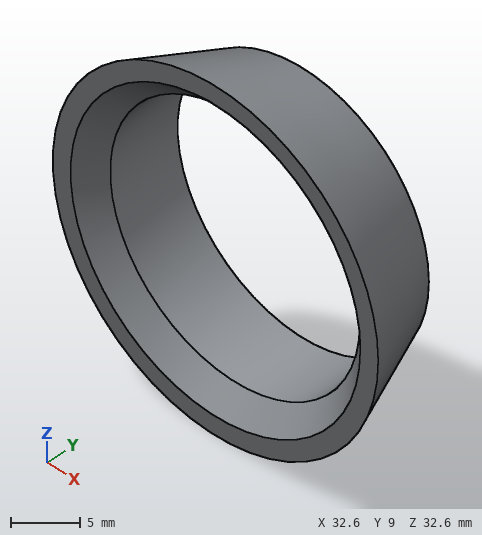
import cadquery as cq

length = 9.0
front_diameter = 32.6
back_diameter = 25.37
bore_diameter = 24.98
mouth_diameter = 29.02

front_radius = front_diameter / 2
back_radius = back_diameter / 2
bore_radius = bore_diameter / 2
mouth_radius = mouth_diameter / 2
mouth_depth = mouth_radius - bore_radius

section = (
    cq.Workplane("XY")
    .moveTo(mouth_radius, 0)
    .lineTo(front_radius, 0)
    .lineTo(back_radius, length)
    .lineTo(bore_radius, length)
    .lineTo(bore_radius, mouth_depth)
    .close()
)

result = section.revolve(360, (0, 0, 0), (0, 1, 0))